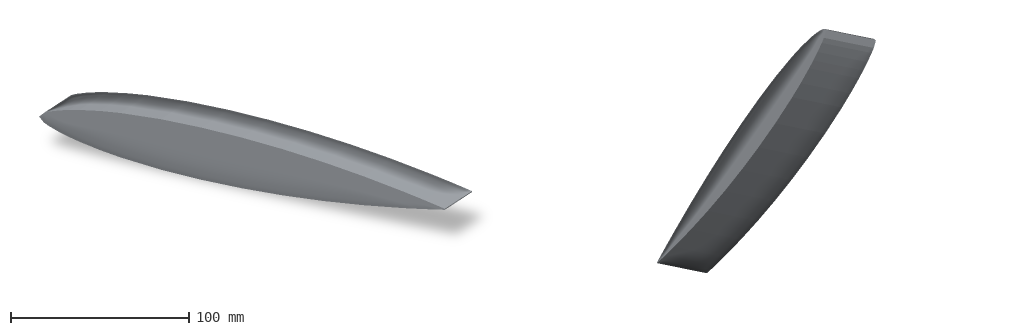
import cadquery as cq
import math

chord = 264.58
max_thickness = 31.75
span = 30.0

crest = 0.40
nose_index = 3
standard_nose_index = 6
standard_nose_term = 0.2969
reference_half = 0.10
tail_half = 0.002
tail_slope = 0.315

stations = [0, 1.25, 2.5, 5, 7.5, 10, 15, 20, 30, 40, 50, 60, 70, 80, 90, 95, 100]

aft_length = 1 - crest
d0 = tail_half
d1 = tail_slope
aft_rise = reference_half - d0
d2 = (3 * aft_rise - 2 * d1 * aft_length) / aft_length**2
d3 = (d1 * aft_length - 2 * aft_rise) / aft_length**3
crest_curvature = 2 * d2 + 6 * d3 * aft_length

a0 = standard_nose_term * nose_index / standard_nose_index
rest_height = reference_half - a0 * math.sqrt(crest)
rest_slope = -a0 / (2 * math.sqrt(crest))
rest_curvature = crest_curvature + a0 / (4 * crest**1.5)
a3 = (rest_curvature / 2 - rest_slope / crest + rest_height / crest**2) / crest
a2 = rest_curvature / 2 - 3 * a3 * crest
a1 = rest_slope - 2 * a2 * crest - 3 * a3 * crest**2


def half_thickness(x):
    """Half thickness in millimetres at chord fraction x."""
    if x <= crest:
        reference = a0 * math.sqrt(x) + a1 * x + a2 * x**2 + a3 * x**3
    else:
        u = 1 - x
        reference = d0 + d1 * u + d2 * u**2 + d3 * u**3
    return reference / reference_half * max_thickness / 2


def airfoil_outline():
    """Closed outline: upper surface nose to blunt tail, then lower surface back."""
    fractions = [percent / 100 for percent in stations]
    upper = [(x * chord, half_thickness(x)) for x in fractions]
    lower = [(x, -z) for x, z in reversed(upper[1:])]
    return upper + lower


def airfoil_bar():
    """Airfoil section in the XZ plane, extruded symmetrically along Y."""
    return cq.Workplane("XZ").polyline(airfoil_outline()).close().extrude(span / 2, both=True)


result = airfoil_bar()